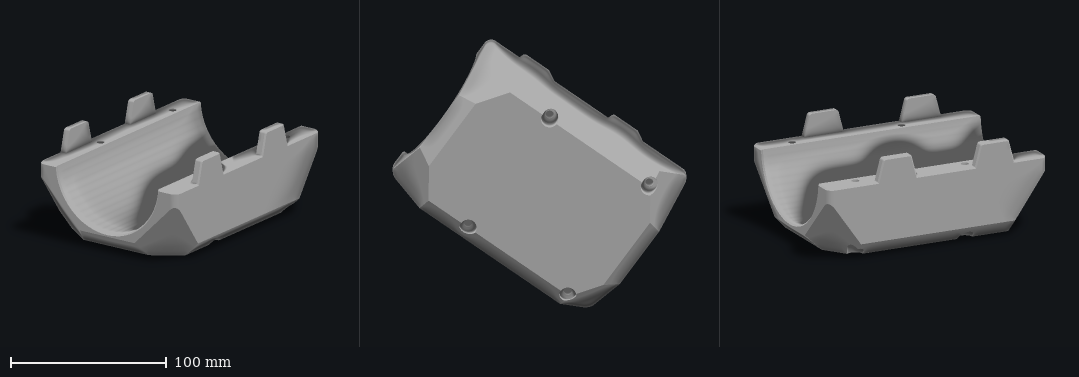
import cadquery as cq
import math

length = 158.0
width = 110.0
overall_height = 65.4
body_height = 50.1
corner_radius = 5.0
bottom_chamfer = 10.1
rim_chamfer = 1.0

cradle_radius = 40.0
cradle_axis_rise = 2.0
cradle_axis_z = body_height + cradle_axis_rise

corner_cut_height = 43.5
corner_cut_normal = (1, math.sqrt(2), -1)

tab_thickness = 5.0
tab_top_width = 20.0
tab_flank_angle = 15.0
tab_tip_radius = 2.0
tab_pitch = 70.0
tab_pair_center_y = -6.0
tab_height = overall_height - body_height
tab_base_width = tab_top_width + 2 * tab_height * math.tan(math.radians(tab_flank_angle))

hole_diameter = 5.2
counterbore_diameter = 11.0
counterbore_depth = 10.0
hole_spacing_x = 90.0
hole_pitch_y = 78.7
hole_group_center_y = 15.2

half_width = width / 2
half_length = length / 2

tolerance = 0.02


def make_block():
    """Body with a chamfered underside, rounded upright corners and the cradle cut through it."""
    block = cq.Workplane("XY").box(width, length, body_height, centered=(True, True, False))
    block = block.faces("<Z").edges().chamfer(bottom_chamfer)
    block = block.edges("|Z").fillet(corner_radius)
    cradle = (
        cq.Workplane("XZ", origin=(0, half_length, cradle_axis_z))
        .circle(cradle_radius)
        .extrude(length)
    )
    return block.cut(cradle)


def make_tab(outer_x, center_y):
    """Trapezoidal tab whose outer face is flush with the body side at outer_x."""
    inward = -math.copysign(tab_thickness, outer_x)
    tab = (
        cq.Workplane("YZ", origin=(outer_x, center_y, body_height))
        .moveTo(-tab_base_width / 2, 0)
        .lineTo(-tab_top_width / 2, tab_height)
        .lineTo(tab_top_width / 2, tab_height)
        .lineTo(tab_base_width / 2, 0)
        .close()
        .extrude(inward)
    )
    return tab.faces(">Z").edges("|X").fillet(tab_tip_radius)


def is_rim_edge(edge):
    """True for the upper outer edges: cradle ends, top outline and outer tab outlines."""
    center = edge.BoundingBox().center
    if min(edge.startPoint().z, edge.endPoint().z) < body_height - tolerance:
        return False
    on_side = abs(center.x) > half_width - tolerance
    on_end_or_corner = abs(center.y) > half_length - corner_radius
    return on_side or on_end_or_corner


def chamfer_rim(body):
    """Chamfer every upper outer edge in one continuous band."""
    rim_edges = [edge for edge in body.edges().vals() if is_rim_edge(edge)]
    return body.newObject(rim_edges).chamfer(rim_chamfer)


def make_corner_cut(side_x, side_y):
    """Large block lying outside the oblique flat of one lower corner."""
    normal_x, normal_y, normal_z = corner_cut_normal
    flat = cq.Plane(
        origin=(side_x * half_width, side_y * half_length, corner_cut_height),
        xDir=(side_y * normal_y, -side_x * normal_x, 0),
        normal=(side_x * normal_x, side_y * normal_y, normal_z),
    )
    return cq.Workplane(flat).rect(length, length).extrude(length)


def drill_screw_holes(body):
    """Four through holes counterbored from the underside."""
    layout = cq.Workplane("XY", origin=(0, hole_group_center_y, 0)).rarray(
        hole_spacing_x, hole_pitch_y, 2, 2
    )
    through_holes = layout.circle(hole_diameter / 2).extrude(body_height)
    counterbores = layout.circle(counterbore_diameter / 2).extrude(counterbore_depth)
    return body.cut(through_holes).cut(counterbores)


result = make_block()
for side_x in (-1, 1):
    for step in (-0.5, 0.5):
        result = result.union(make_tab(side_x * half_width, tab_pair_center_y + step * tab_pitch))
result = chamfer_rim(result)
for side_x in (-1, 1):
    for side_y in (-1, 1):
        result = result.cut(make_corner_cut(side_x, side_y))
result = drill_screw_holes(result)